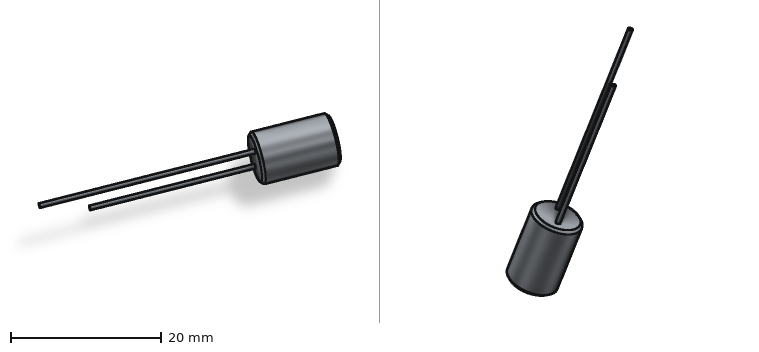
import cadquery as cq

total_length = 41.0
body_diameter = 7.2
body_length = 11.0
rim_chamfer = 0.4

lead_diameter = 0.65
lead_pitch = 3.5
long_lead_length = total_length - body_length
short_lead_length = 23.0
lead_embed = 0.8


def make_body():
    """Cylinder from Y = 0 to Y = body_length, chamfered at both ends."""
    body = cq.Workplane("XZ").circle(body_diameter / 2).extrude(-body_length)
    return body.faces("<Y or >Y").chamfer(rim_chamfer)


def make_lead(height, length):
    """Straight wire running in -Y from the body's end face."""
    return (
        cq.Workplane("XZ", origin=(0, lead_embed, 0))
        .center(0, height)
        .circle(lead_diameter / 2)
        .extrude(length + lead_embed)
    )


result = make_body()
for height, length in (
    (lead_pitch / 2, long_lead_length),
    (-lead_pitch / 2, short_lead_length),
):
    result = result.union(make_lead(height, length))